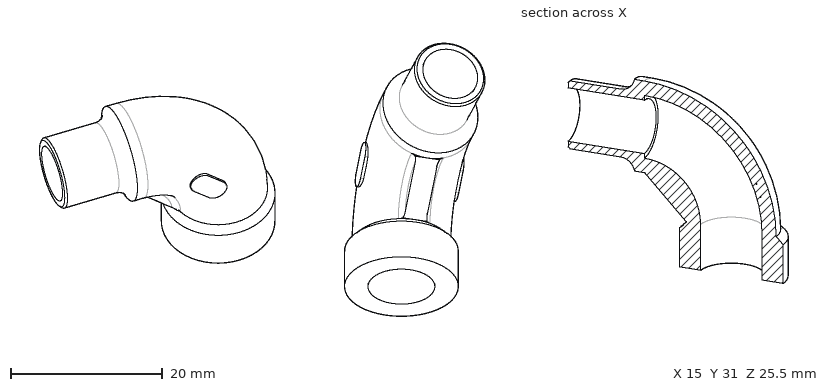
import cadquery as cq
import math

overall_length = 31.0

socket_radius = 7.5
socket_height = 5.52

body_radius = 6.5
bend_radius = 12.5
cone_height = socket_radius - body_radius
collar_length = 1.5
body_bore_radius = 4.4

spigot_radius = 4.85
spigot_bore_radius = 3.75
neck_fillet_radius = 1.98
spigot_chamfer = 0.28

web_width = 3.0
web_fillet_radius = 1.0

pad_width = 3.0
pad_length = 6.0
pad_half_span = 6.73
pad_y = -3.97
pad_z = 15.38

bend_z = socket_height + cone_height
bend_center = (0, -bend_radius, bend_z)
spigot_axis_z = bend_z + bend_radius
collar_end = bend_radius + collar_length
spigot_end = overall_length - socket_radius


def bend(section):
    """Turn a section lying in the XY plane at bend_z through 90 degrees about the bend axis."""
    return section.revolve(90, (0, -bend_radius, 0), (1, -bend_radius, 0))


def bend_plane():
    """Horizontal plane where the bend starts, on top of the socket cone."""
    return cq.Workplane("XY", origin=(0, 0, bend_z))


def make_socket():
    """Cylinder topped by a cone that narrows to the tube."""
    half_profile = [
        (0, 0),
        (socket_radius, 0),
        (socket_radius, socket_height),
        (body_radius, bend_z),
        (0, bend_z),
    ]
    return cq.Workplane("XZ").polyline(half_profile).close().revolve(360, (0, 0), (0, 1))


def make_spigot():
    """Collar, concave neck and spigot, turned about the horizontal tube axis."""
    arc_center_radius = spigot_radius + neck_fillet_radius
    arc_sweep = math.acos((arc_center_radius - body_radius) / neck_fillet_radius)
    neck_end = collar_end + neck_fillet_radius * math.sin(arc_sweep)
    neck_middle = (
        arc_center_radius - neck_fillet_radius * math.cos(arc_sweep / 2),
        neck_end - neck_fillet_radius * math.sin(arc_sweep / 2),
    )
    return (
        cq.Workplane("XY", origin=(0, 0, spigot_axis_z))
        .transformed(rotate=(180, 0, 0))
        .moveTo(0, bend_radius)
        .lineTo(body_radius, bend_radius)
        .lineTo(body_radius, collar_end)
        .threePointArc(neck_middle, (spigot_radius, neck_end))
        .lineTo(spigot_radius, spigot_end - spigot_chamfer)
        .lineTo(spigot_radius - spigot_chamfer, spigot_end)
        .lineTo(0, spigot_end)
        .close()
        .revolve(360, (0, 0), (0, 1))
    )


def make_web():
    """Web blended into the tube by fillets, cut flat along the chord of the inner bend."""
    half_width = web_width / 2
    fillet_x = half_width + web_fillet_radius
    fillet_y = -math.sqrt((body_radius + web_fillet_radius) ** 2 - fillet_x**2)
    touch_ratio = body_radius / (body_radius + web_fillet_radius)
    touch_x = fillet_x * touch_ratio
    touch_y = fillet_y * touch_ratio
    mid_angle = (math.pi + math.atan2(-fillet_y, -fillet_x)) / 2
    mid_x = fillet_x + web_fillet_radius * math.cos(mid_angle)
    mid_y = fillet_y + web_fillet_radius * math.sin(mid_angle)

    inner_bend_radius = bend_radius - body_radius
    tip_y = -bend_radius + inner_bend_radius / 2
    ring = bend(
        bend_plane()
        .moveTo(-half_width, tip_y)
        .lineTo(half_width, tip_y)
        .lineTo(half_width, fillet_y)
        .threePointArc((mid_x, mid_y), (touch_x, touch_y))
        .lineTo(0, -(body_bore_radius + body_radius) / 2)
        .lineTo(-touch_x, touch_y)
        .threePointArc((-mid_x, mid_y), (-half_width, fillet_y))
        .close()
    )
    below_chord = (
        cq.Workplane("YZ", origin=bend_center)
        .polyline([(0, 0), (inner_bend_radius, 0), (0, inner_bend_radius)])
        .close()
        .extrude(web_width * 2, both=True)
    )
    return ring.cut(below_chord)


def make_pads():
    """One slot-shaped bar through the tube, showing as a flat pad on each side."""
    return (
        cq.Workplane("YZ", origin=(0, pad_y, pad_z))
        .transformed(rotate=(0, 0, -45))
        .slot2D(pad_length, pad_width)
        .extrude(pad_half_span, both=True)
    )


def make_bore():
    """Wide bore through socket and bend, stepping down to the spigot bore at the end of the bend."""
    lower = cq.Workplane("XY").circle(body_bore_radius).extrude(bend_z)
    curve = bend(bend_plane().circle(body_bore_radius))
    outlet = (
        cq.Workplane("XZ", origin=(0, -bend_radius, spigot_axis_z))
        .circle(spigot_bore_radius)
        .extrude(spigot_end - bend_radius)
    )
    return lower.union(curve).union(outlet)


elbow = bend(bend_plane().circle(body_radius))
body = make_socket().union(elbow).union(make_spigot()).union(make_web()).union(make_pads())
result = body.cut(make_bore())